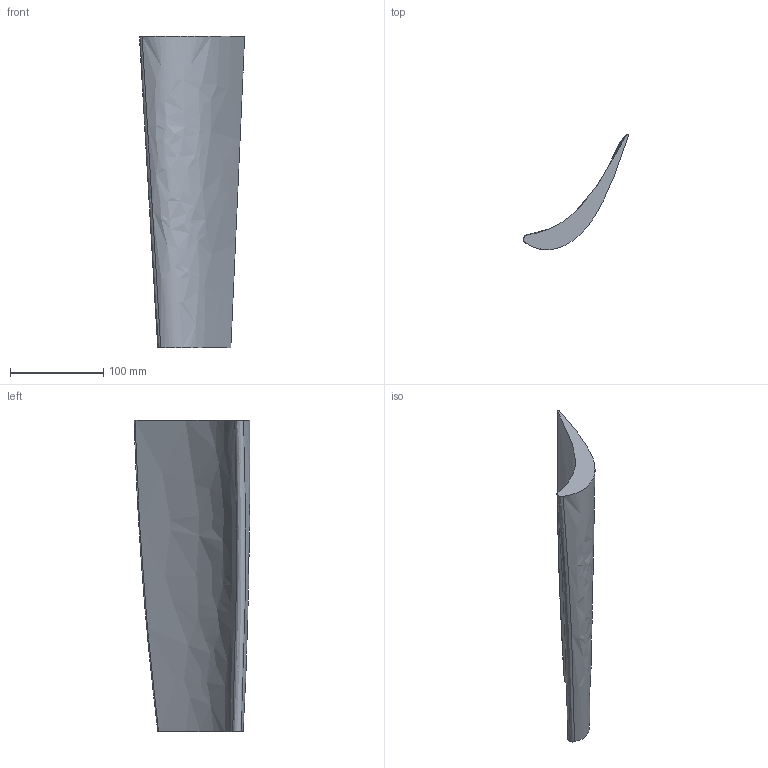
import cadquery as cq

height = 334.34

root_section = {
    "nose": [(-34.6, -43.6), (-36.8, -47.6), (-33.6, -52.6)],
    "back": [(-26.5, -54.5), (-18.5, -54.3), (-10.1, -50.4), (7.0, -33.0), (23.0, -4.0), (32.8, 16.0)],
    "tail": [(41.7, 35.4), (41.4, 36.5), (39.6, 36.1)],
    "front": [(31.1, 19.1), (14.7, -9.8), (-5.9, -32.1), (-18.5, -40.0)],
}
middle_section = {
    "nose": [(-44.0, -47.5), (-46.6, -51.5), (-43.6, -57.2)],
    "back": [(-35.5, -60.4), (-24.5, -60.4), (-13.0, -55.8), (9.6, -36.1), (28.1, -0.6), (39.8, 26.5)],
    "tail": [(49.1, 52.0), (48.8, 53.2), (47.0, 52.7)],
    "front": [(35.7, 29.0), (15.2, -6.5), (-10.7, -34.0), (-26.2, -42.5)],
}
tip_section = {
    "nose": [(-52.0, -45.9), (-56.4, -50.0), (-53.6, -55.1)],
    "back": [(-43.0, -60.0), (-29.0, -61.8), (-14.5, -58.4), (12.4, -37.1), (34.4, 1.6), (46.8, 32.0)],
    "tail": [(56.5, 60.9), (56.1, 62.05), (54.5, 61.4)],
    "front": [(40.3, 36.0), (15.6, -2.7), (-15.6, -32.8), (-34.0, -41.6)],
}


def section_wire(section, level):
    """Closed airfoil outline at the given height."""
    nose_front, nose_middle, nose_back = section["nose"]
    tail_back, tail_middle, tail_front = section["tail"]
    return (
        cq.Workplane("XY")
        .workplane(offset=level)
        .moveTo(*nose_front)
        .threePointArc(nose_middle, nose_back)
        .spline(section["back"] + [tail_back], includeCurrent=True)
        .threePointArc(tail_middle, tail_front)
        .spline(section["front"] + [nose_front], includeCurrent=True)
        .wire()
        .val()
    )


stations = [
    (root_section, 0),
    (middle_section, height / 2),
    (tip_section, height),
]
wires = [section_wire(section, level) for section, level in stations]
result = cq.Workplane(obj=cq.Solid.makeLoft(wires))